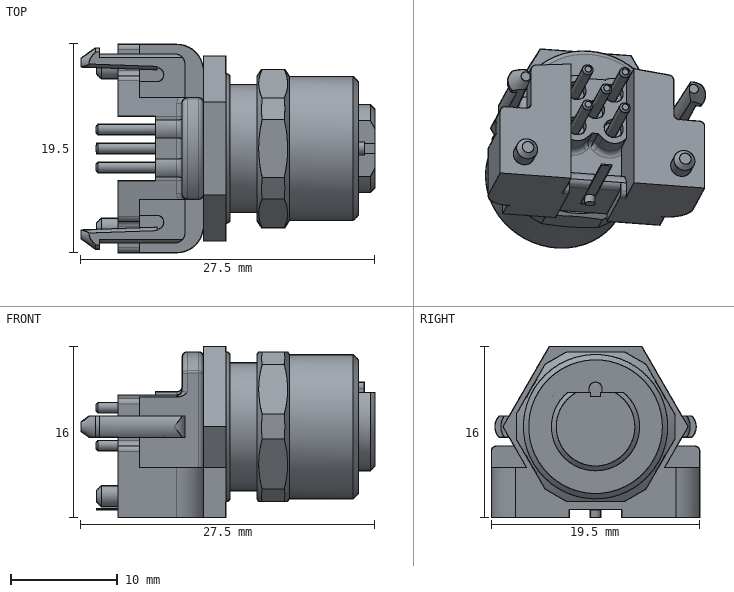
import cadquery as cq
import math

BOTTOM_Z = -8.5
OVERLAP = 0.3
PICK_REACH = 0.05
HEX_HALF_ANGLE = math.pi / 6
MID_ARC = math.sqrt(0.5)

HALF_WIDTH = 9.75
CORE_HALF = 4.75
GAP_HALF = 3.0
PLATE_X = 8.0
LEG_LENGTH = 2.0
LEG_HALF = 6.8
FOOT_Z = -1.8
SHELF_Z = -3.8
TOP_Z = 2.98
ROOF_SLOPE = 0.11
LEG_ROUND = 0.5
CORNER_R = 2.5

DOME_X = 6.0
DOME_R = 7.0
DOME_ROUND = 0.5
DOME_CORNER_R = 0.3
RELIEF = 0.45

INSERT_X = 3.5
PIN_OFFSET = 1.77
LOBE_R = 1.5
BRIDGE_TOP = 3.05
NOTCH_Z = -2.4
PIN_D = 1.0
PIN_TIP_X = -2.05
PIN_CHAMFER = 0.2
PIN_HOLE_D = 1.8
PIN_HOLE_DEPTH = 1.0

PEG_D = 2.0
PEG_TIP_X = -2.0
PEG_Y = 7.5
PEG_Z = -6.5
PEG_CHAMFER = 0.45

ARM_HALF = 1.0
ARM_OUT = 8.85
ARM_ROOT_X = 6.28
ARM_ROOT_ROUND = 1.0
ARM_CROWN_R = 1.7
ARM_SAGITTA = ARM_CROWN_R - math.sqrt(ARM_CROWN_R**2 - ARM_HALF**2)
SLOT_X = 4.29
SLOT_IN = 6.25
SLOT_OUT = 7.55
ARM_IN_ROOT = 7.33
ARM_IN_TIP = 7.6
HOOK_X = -1.7
HOOK_FLAT = 0.4
HOOK_Y = 8.0
HOOK_R = 1.42
TIP_X = -3.45
TIP_R = 0.45

SILL_TOP = -6.1
SILL_NOSE = -7.15
SILL_UNDER = -7.75
SILL_HALF = 2.45
SILL_BULGE = 0.1
CHEEK_ROUND = 0.5
STRIP_HALF = 0.5
STRIP_THICK = 0.12
STRIP_TIP_X = -2.0
STRIP_Z = -7.66
STRIP_STUD_X = 6.0

PLATE_END = 10.1
PLATE_APOTHEM = 7.5
PLATE_FOOT_HALF = 7.5
RING_END = 10.5
RING_D = 14.0
RING_ROUND = 0.35
NECK_D = 12.0
NUT_X = 13.0
NUT_END = 16.04
NUT_FLATS = 14.0
NUT_CORNERS = 14.82
NUT_FACE_D = 13.5
NUT_CHAMFER_X = 0.43
SLEEVE_D = 13.5
SLEEVE_END = 22.5
SLEEVE_CHAMFER = 0.5

PLUG_D = 8.25
PLUG_END = 24.05
PLUG_CHAMFER = 0.45
PLUG_FLAT_Z = 3.2
KEYWAY_HALF = 0.48
KEYWAY_DEPTH = 0.4
KEY_D = 1.2
KEY_END = 23.05
KEY_TOP = 4.17


def box(x0, x1, y0, y1, z0, z1):
    """Axis-aligned block between the given limits."""
    return cq.Workplane("XY").box(x1 - x0, y1 - y0, z1 - z0, centered=False).translate((x0, y0, z0))


def rod(x0, x1, diameter, y=0.0, z=0.0):
    """Cylinder along X."""
    return cq.Workplane("YZ").center(y, z).circle(diameter / 2).extrude(x1 - x0).translate((x0, 0, 0))


def section(points, x0, x1):
    """Polygon in the YZ plane, extruded from x0 to x1."""
    return cq.Workplane("YZ").polyline(points).close().extrude(x1 - x0).translate((x0, 0, 0))


def both_sides(body):
    """The body together with its mirror image across Y = 0."""
    return body.union(body.mirror("XZ"))


def roof(y):
    return TOP_Z - ROOF_SLOPE * (y - GAP_HALF)


def make_leg():
    outline = [
        (GAP_HALF, BOTTOM_Z),
        (HALF_WIDTH, BOTTOM_Z),
        (HALF_WIDTH, FOOT_Z),
        (LEG_HALF, FOOT_Z),
        (LEG_HALF, roof(LEG_HALF)),
        (GAP_HALF, TOP_Z),
    ]
    leg = section(outline, 0, LEG_LENGTH)
    mid_x = LEG_LENGTH / 2
    for y, z in (
        (HALF_WIDTH, FOOT_Z),
        (LEG_HALF, FOOT_Z),
        (LEG_HALF, roof(LEG_HALF)),
    ):
        leg = leg.edges(cq.selectors.NearestToPointSelector((mid_x, y, z))).fillet(LEG_ROUND)
    return leg


def make_shelf():
    shelf = box(LEG_LENGTH, PLATE_X, GAP_HALF, HALF_WIDTH, BOTTOM_Z, SHELF_Z)
    return shelf.edges("|Z and >X and >Y").fillet(CORNER_R)


def make_insert_base():
    """Lower half of the insert: two lobes with a notch between them, coved into the rear wall."""
    diagonal = LOBE_R * MID_ARC
    flank_y = PIN_OFFSET - diagonal
    flank_z = -PIN_OFFSET - diagonal
    notch_half = flank_y - (NOTCH_Z - flank_z)
    side_y = PIN_OFFSET + LOBE_R
    base = (
        cq.Workplane("YZ")
        .moveTo(-side_y, 0)
        .lineTo(-side_y, -PIN_OFFSET)
        .threePointArc((-PIN_OFFSET, -side_y), (-flank_y, flank_z))
        .lineTo(-notch_half, NOTCH_Z)
        .lineTo(notch_half, NOTCH_Z)
        .lineTo(flank_y, flank_z)
        .threePointArc((PIN_OFFSET, -side_y), (side_y, -PIN_OFFSET))
        .lineTo(side_y, 0)
        .close()
        .extrude(PLATE_X - INSERT_X)
        .translate((INSERT_X, 0, 0))
    )
    base = base.union(box(DOME_X, PLATE_X, -HALF_WIDTH, HALF_WIDTH, BOTTOM_Z, 0))
    joint = cq.selectors.BoxSelector(
        (DOME_X - PICK_REACH, -HALF_WIDTH, SHELF_Z),
        (DOME_X + PICK_REACH, HALF_WIDTH, -PICK_REACH),
    )
    base = base.edges(joint).fillet(DOME_ROUND)
    return base.intersect(box(INSERT_X, PLATE_X, -GAP_HALF, GAP_HALF, BOTTOM_Z, 0))


def make_insert():
    """Five-way insert: two lobes and a bridge on top of the coved base."""
    insert = box(INSERT_X, PLATE_X, -GAP_HALF, GAP_HALF, 0, TOP_Z)
    insert = insert.union(box(INSERT_X, PLATE_X, -PIN_OFFSET, PIN_OFFSET, 0, BRIDGE_TOP))
    for y in (-PIN_OFFSET, PIN_OFFSET):
        lobe = rod(INSERT_X, PLATE_X, 2 * LOBE_R, y, PIN_OFFSET)
        insert = insert.union(lobe.intersect(box(INSERT_X, PLATE_X, -GAP_HALF, GAP_HALF, 0, DOME_R)))
    return insert.union(make_insert_base())


def make_dome():
    dome = rod(DOME_X, PLATE_X, 2 * DOME_R)
    dome = dome.intersect(box(DOME_X, PLATE_X, -CORE_HALF, CORE_HALF, SHELF_Z, DOME_R))
    dome = dome.edges("|X and (not <Z)").edges(">Z").fillet(DOME_CORNER_R)
    front = dome.faces("<X").edges("not(<Z)")
    return cq.Workplane(front.fillet(DOME_ROUND).val())


def make_core():
    """Raised core between the shelves, with the insert and the dome."""
    wall = [
        (GAP_HALF, BOTTOM_Z),
        (CORE_HALF, BOTTOM_Z),
        (CORE_HALF, roof(CORE_HALF)),
        (GAP_HALF, TOP_Z),
    ]
    core = both_sides(section(wall, 0, PLATE_X))
    core = core.union(box(DOME_X, PLATE_X, -GAP_HALF, GAP_HALF, BOTTOM_Z, TOP_Z))
    core = core.union(make_insert())
    core = core.union(make_dome())
    near, far = DOME_X - PICK_REACH, DOME_X + PICK_REACH
    roof_joint = cq.selectors.BoxSelector((near, -CORE_HALF, PIN_OFFSET), (far, CORE_HALF, DOME_R))
    core = core.edges(roof_joint).fillet(DOME_ROUND)
    return core.faces(">X").edges("not <Z").fillet(RELIEF)


def make_sill():
    """Rounded sill between the legs, carrying the grounding strip."""
    slope = SILL_TOP - SILL_NOSE
    under_r = SILL_NOSE - SILL_UNDER
    profile = (
        cq.Workplane("XZ")
        .moveTo(PLATE_X, SILL_UNDER)
        .lineTo(INSERT_X + under_r, SILL_UNDER)
        .threePointArc(
            (INSERT_X + under_r * (1 - MID_ARC), SILL_NOSE - under_r * MID_ARC),
            (INSERT_X, SILL_NOSE),
        )
        .threePointArc(
            (INSERT_X + slope / 2 - SILL_BULGE * MID_ARC, SILL_NOSE + slope / 2 + SILL_BULGE * MID_ARC),
            (INSERT_X + slope, SILL_TOP),
        )
        .lineTo(PLATE_X, SILL_TOP)
        .close()
    )
    sill = profile.extrude(GAP_HALF, both=True)
    cheek = box(INSERT_X, PLATE_X, SILL_HALF, GAP_HALF, BOTTOM_Z, SILL_NOSE)
    cheek = cheek.edges("<X and <Z").fillet(CHEEK_ROUND)
    return sill.union(both_sides(cheek))


def make_strip():
    strip = box(STRIP_TIP_X, PLATE_X, -STRIP_HALF, STRIP_HALF, STRIP_Z - STRIP_THICK, STRIP_Z)
    stud = cq.Workplane("XY").center(STRIP_STUD_X, 0).circle(STRIP_HALF)
    return strip.union(stud.extrude(STRIP_Z - BOTTOM_Z).translate((0, 0, BOTTOM_Z)))


def crowned_outside(plan):
    """Extrude a plan outline to the arm height and crown its outer side."""
    edge_y = ARM_OUT - ARM_SAGITTA
    inner_y = CORE_HALF - OVERLAP
    crown = (
        cq.Workplane("YZ")
        .moveTo(inner_y, -ARM_HALF)
        .lineTo(edge_y, -ARM_HALF)
        .threePointArc((ARM_OUT, 0), (edge_y, ARM_HALF))
        .lineTo(inner_y, ARM_HALF)
        .close()
        .extrude(ARM_ROOT_X - TIP_X)
        .translate((TIP_X, 0, 0))
    )
    return plan.extrude(ARM_HALF, both=True).intersect(crown)


def make_inner_crown():
    """Long bar whose inner side is crowned and follows the taper of the arm."""
    taper = math.degrees(math.atan2(ARM_IN_TIP - ARM_IN_ROOT, SLOT_X - TIP_X))
    edge_y = ARM_IN_TIP + ARM_SAGITTA
    bar = (
        cq.Workplane("YZ")
        .moveTo(HALF_WIDTH + HOOK_R, -ARM_HALF)
        .lineTo(edge_y, -ARM_HALF)
        .threePointArc((ARM_IN_TIP, 0), (edge_y, ARM_HALF))
        .lineTo(HALF_WIDTH + HOOK_R, ARM_HALF)
        .close()
        .extrude(ARM_ROOT_X - TIP_X + 2 * OVERLAP)
        .translate((TIP_X - OVERLAP, 0, 0))
    )
    return bar.rotate((TIP_X, ARM_IN_TIP, 0), (TIP_X, ARM_IN_TIP, 1), -taper)


def make_latch_root():
    slot_r = (SLOT_OUT - SLOT_IN) / 2
    beam_end = SLOT_X - slot_r
    bend = ARM_ROOT_ROUND * (1 - MID_ARC)
    plan = (
        cq.Workplane("XY")
        .moveTo(LEG_LENGTH, CORE_HALF - OVERLAP)
        .lineTo(ARM_ROOT_X, CORE_HALF - OVERLAP)
        .lineTo(ARM_ROOT_X, ARM_OUT - ARM_ROOT_ROUND)
        .threePointArc((ARM_ROOT_X - bend, ARM_OUT - bend), (ARM_ROOT_X - ARM_ROOT_ROUND, ARM_OUT))
        .lineTo(beam_end, ARM_OUT)
        .lineTo(beam_end, SLOT_OUT)
        .threePointArc((SLOT_X, (SLOT_IN + SLOT_OUT) / 2), (beam_end, SLOT_IN))
        .lineTo(LEG_LENGTH, SLOT_IN)
        .close()
    )
    return crowned_outside(plan)


def make_latch():
    """Sprung arm with a round hook, hung on a root block beside the core."""
    inner_crown = make_inner_crown()
    beam_length = SLOT_X - (SLOT_OUT - SLOT_IN) / 2 - HOOK_X
    beam_plan = cq.Workplane("XY", origin=(HOOK_X - OVERLAP, SLOT_OUT - 2 * OVERLAP, 0))
    beam_plan = beam_plan.rect(beam_length + OVERLAP, ARM_OUT - SLOT_OUT + 2 * OVERLAP, centered=False)
    beam = crowned_outside(beam_plan)
    hook = (
        cq.Workplane("XY")
        .moveTo(TIP_X, 0)
        .lineTo(TIP_X, TIP_R)
        .lineTo(HOOK_X - HOOK_FLAT, HOOK_R)
        .lineTo(HOOK_X, HOOK_R)
        .lineTo(HOOK_X, 0)
        .close()
        .revolve(360, (0, 0, 0), (1, 0, 0))
        .translate((0, HOOK_Y, 0))
    )
    return make_latch_root().union(beam.union(hook).intersect(inner_crown))


def make_plate():
    """Hexagonal plate with a rectangular foot, followed by the collar and neck."""
    corner_d = 2 * PLATE_APOTHEM / math.cos(HEX_HALF_ANGLE)
    plate = cq.Workplane("YZ").polygon(6, corner_d).extrude(PLATE_END - PLATE_X).translate((PLATE_X, 0, 0))
    plate = plate.union(box(PLATE_X, PLATE_END, -PLATE_FOOT_HALF, PLATE_FOOT_HALF, BOTTOM_Z, SHELF_Z))
    collar = rod(PLATE_END - OVERLAP, RING_END, RING_D).faces(">X").edges().fillet(RING_ROUND)
    return plate.union(collar).union(rod(PLATE_END, NUT_X + OVERLAP, NECK_D))


def make_nut():
    """Hexagon nut with flattened corners and conical ends."""
    length = NUT_END - NUT_X
    hexagon = cq.Workplane("YZ").polygon(6, NUT_FLATS / math.cos(HEX_HALF_ANGLE)).extrude(length)
    flattened = cq.Workplane("YZ").transformed(rotate=(0, 0, math.degrees(HEX_HALF_ANGLE)))
    flattened = flattened.polygon(6, NUT_CORNERS / math.cos(HEX_HALF_ANGLE)).extrude(length)
    face_r = NUT_FACE_D / 2
    rim_r = NUT_CORNERS / 2
    outer_r = rim_r / math.cos(HEX_HALF_ANGLE / 2)
    slope = (rim_r - face_r) / NUT_CHAMFER_X
    run = (outer_r - face_r) / slope
    half_profile = [
        (0, 0),
        (0, face_r),
        (run, outer_r),
        (length - run, outer_r),
        (length, face_r),
        (length, 0),
    ]
    cone = (
        cq.Workplane("XY")
        .polyline(half_profile)
        .close()
        .revolve(360, (0, 0, 0), (1, 0, 0))
    )
    return hexagon.intersect(flattened).intersect(cone).translate((NUT_X, 0, 0))


def make_plug():
    """Flatted, keyed plug on the mating end of the sleeve."""
    start = SLEEVE_END - OVERLAP
    plug = rod(start, PLUG_END, PLUG_D).faces(">X").chamfer(PLUG_CHAMFER)
    plug = plug.cut(box(SLEEVE_END, PLUG_END, -PLUG_D, PLUG_D, PLUG_FLAT_Z, PLUG_D))
    keyway_floor = PLUG_FLAT_Z - KEYWAY_DEPTH
    plug = plug.cut(box(SLEEVE_END, PLUG_END, -KEYWAY_HALF, KEYWAY_HALF, keyway_floor, PLUG_D))
    key_axis = KEY_TOP - KEY_D / 2
    plug = plug.union(rod(start, KEY_END, KEY_D, 0, key_axis))
    return plug.union(box(start, KEY_END, -KEY_D / 2, KEY_D / 2, keyway_floor, key_axis))


def add_pins(body):
    centres = [(0, 0)]
    for y in (-PIN_OFFSET, PIN_OFFSET):
        for z in (-PIN_OFFSET, PIN_OFFSET):
            centres.append((y, z))
    floor_x = INSERT_X + PIN_HOLE_DEPTH
    for y, z in centres:
        hole = rod(INSERT_X, floor_x, PIN_HOLE_D, y, z)
        pin = rod(PIN_TIP_X, floor_x + OVERLAP, PIN_D, y, z).faces("<X").chamfer(PIN_CHAMFER)
        body = body.cut(hole).union(pin)
    return body


peg = rod(PEG_TIP_X, LEG_LENGTH, PEG_D, PEG_Y, PEG_Z).faces("<X").chamfer(PEG_CHAMFER)
sleeve = rod(NUT_END - OVERLAP, SLEEVE_END, SLEEVE_D).faces(">X").chamfer(SLEEVE_CHAMFER)
underpass = box(0, PLATE_END, -SILL_HALF, SILL_HALF, BOTTOM_Z, SILL_UNDER)

result = make_core()
for side_body in (make_leg(), make_shelf(), make_latch(), peg):
    result = result.union(both_sides(side_body))
for body in (make_sill(), make_plate(), make_nut(), sleeve, make_plug()):
    result = result.union(body)
result = result.cut(underpass).union(make_strip())
result = add_pins(result)